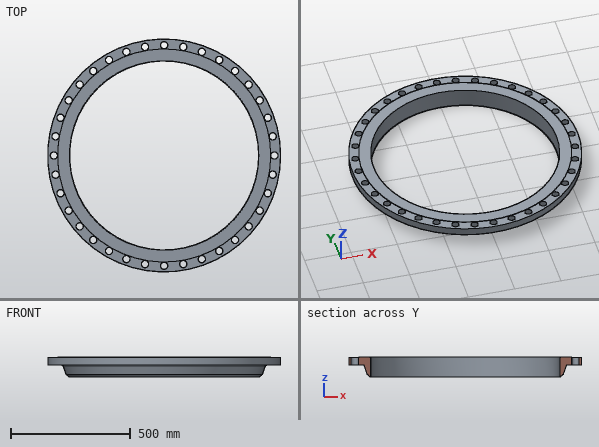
import cadquery as cq

flange_diameter = 972.0
bore_diameter = 787.0
total_height = 85.0

face_diameter = 888.0
face_height = 2.0
plate_thickness = 33.0

hub_top_diameter = 846.0
hub_neck_diameter = 820.0
hub_end_diameter = 793.0
bevel_height = 12.0

root_fillet_radius = 7.0

bolt_count = 36
bolt_circle_diameter = 919.0
bolt_hole_diameter = 29.0

plate_top = total_height - face_height
plate_bottom = plate_top - plate_thickness


def ring_body():
    """Revolve the half section, listed as (radius, height), about Z."""
    section = [
        (bore_diameter / 2, 0),
        (hub_end_diameter / 2, 0),
        (hub_neck_diameter / 2, bevel_height),
        (hub_top_diameter / 2, plate_bottom),
        (flange_diameter / 2, plate_bottom),
        (flange_diameter / 2, plate_top),
        (face_diameter / 2, plate_top),
        (face_diameter / 2, total_height),
        (bore_diameter / 2, total_height),
    ]
    ring = cq.Workplane("XZ").polyline(section).close().revolve(360, (0, 0, 0), (0, 1, 0))
    hub_root = ring.edges("%CIRCLE").edges(cq.selectors.RadiusNthSelector(3))
    return hub_root.fillet(root_fillet_radius)


def bolt_holes():
    """Evenly spaced through-hole cutters, the first one on the +X axis."""
    return (
        cq.Workplane("XY")
        .polarArray(bolt_circle_diameter / 2, 0, 360, bolt_count)
        .circle(bolt_hole_diameter / 2)
        .extrude(total_height)
    )


result = ring_body().cut(bolt_holes())